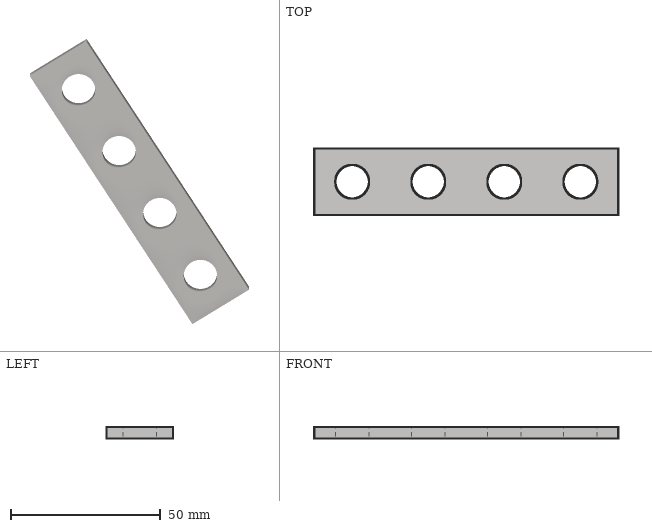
import cadquery as cq

length = 101.6
width = 22.4
thickness = 4.0

hole_count = 4
hole_diameter = 11.2
hole_pitch = length / hole_count

bar = cq.Workplane("XY").box(length, width, thickness)

result = (
    bar.faces(">Z")
    .workplane()
    .rarray(hole_pitch, width, hole_count, 1)
    .hole(hole_diameter)
)